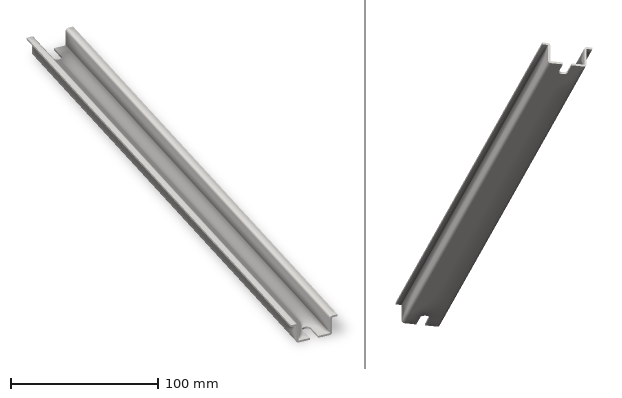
import cadquery as cq

rail_length = 425.0
rail_width = 35.0
rail_height = 15.0
channel_width = 26.8
sheet_thickness = 1.5
inner_bend_radius = 0.4
outer_bend_radius = inner_bend_radius + sheet_thickness

slot_width = 6.2
slot_depth = 15.0


def rail_profile():
    """Cross-section with sharp corners: floor, two walls and two outward flanges."""
    half_rail = rail_width / 2
    half_outer = channel_width / 2
    half_inner = half_outer - sheet_thickness
    flange_underside = rail_height - sheet_thickness
    return (
        cq.Workplane("YZ")
        .moveTo(-half_outer, 0)
        .lineTo(half_outer, 0)
        .lineTo(half_outer, flange_underside)
        .lineTo(half_rail, flange_underside)
        .lineTo(half_rail, rail_height)
        .lineTo(half_inner, rail_height)
        .lineTo(half_inner, sheet_thickness)
        .lineTo(-half_inner, sheet_thickness)
        .lineTo(-half_inner, rail_height)
        .lineTo(-half_rail, rail_height)
        .lineTo(-half_rail, flange_underside)
        .lineTo(-half_outer, flange_underside)
        .close()
    )


def bend_edges(rail, wall_offset, height):
    """Pick the lengthwise edges at one height, on both side walls."""
    points = [(rail_length / 2, side * wall_offset, height) for side in (-1, 1)]
    edges = rail.edges("|X")
    picked = [min(edges.vals(), key=lambda e: (e.Center() - cq.Vector(*p)).Length) for p in points]
    return rail.newObject(picked)


def bent_rail():
    """Extrude the profile and round the inside and outside of every bend."""
    half_outer = channel_width / 2
    half_inner = half_outer - sheet_thickness
    rail = rail_profile().extrude(rail_length)
    bends = (
        (half_outer, 0, outer_bend_radius),
        (half_inner, sheet_thickness, inner_bend_radius),
        (half_inner, rail_height, outer_bend_radius),
        (half_outer, rail_height - sheet_thickness, inner_bend_radius),
    )
    for wall_offset, height, radius in bends:
        rail = bend_edges(rail, wall_offset, height).fillet(radius)
    return rail


def end_slots():
    """Round-ended cutters, one centred on each end of the rail."""
    return (
        cq.Workplane("XY")
        .pushPoints([(0, 0), (rail_length, 0)])
        .slot2D(2 * slot_depth, slot_width)
        .extrude(sheet_thickness)
    )


result = bent_rail().cut(end_slots())